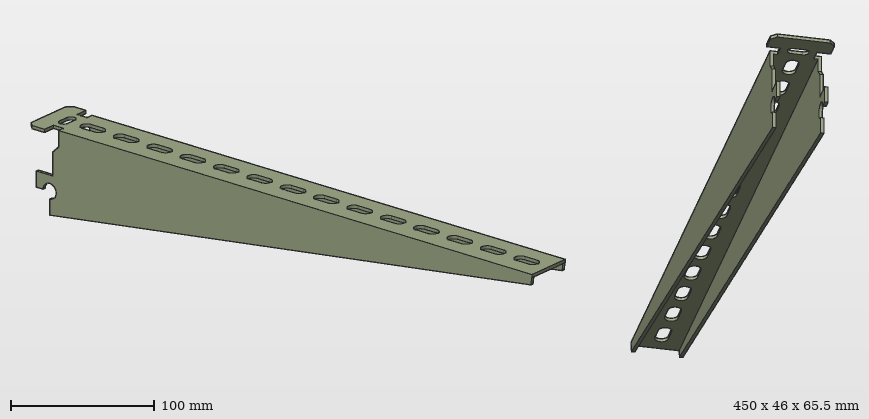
import cadquery as cq

length = 450.0
height = 65.5
sheet = 2.5

channel_width = 37.0
tip_height = 8.0
tip_lean = 1.0

tab_width = 46.0
tab_length = 15.5
tab_chamfer = 4.0

notch_end = 24.5
neck_width = 26.0

cross_slot_x = 17.0
cross_slot_length = 15.5
cross_slot_width = 7.0

slot_count = 14
first_slot_x = 40.0
last_slot_x = 430.0
slot_length = 20.2
slot_width = 9.5

shoulder_x = 19.0
shoulder_top = 12.0
shoulder_bottom = shoulder_top + notch_end - shoulder_x
hook_x = 4.0
hook_top = 35.5
heel_x = 16.0

mouth_radius = 6.0
mouth_depth = 47.5


def make_web():
    """Flat top sheet: tab, narrow neck between the notches, then the full width."""
    web = (
        cq.Workplane("XY")
        .box(length - notch_end, channel_width, sheet, centered=(False, True, False))
        .translate((notch_end, 0, -sheet))
    )
    neck = (
        cq.Workplane("XY")
        .box(notch_end, neck_width, sheet, centered=(False, True, False))
        .translate((0, 0, -sheet))
    )
    tab = (
        cq.Workplane("XY")
        .box(tab_length, tab_width, sheet, centered=(False, True, False))
        .edges("|Z and <X")
        .chamfer(tab_chamfer)
        .translate((0, 0, -sheet))
    )
    return web.union(neck).union(tab)


def make_flange(start_y):
    """Tapered side plate with a hook; it extends from start_y towards +Y."""
    profile = (
        cq.Workplane("XZ", origin=(0, start_y, 0))
        .moveTo(notch_end, 0)
        .lineTo(notch_end, -shoulder_top)
        .lineTo(shoulder_x, -shoulder_bottom)
        .lineTo(shoulder_x, -hook_top)
        .lineTo(hook_x, -hook_top)
        .lineTo(hook_x, -mouth_depth)
        .lineTo(heel_x, -mouth_depth)
        .lineTo(heel_x, -height)
        .lineTo(length - tip_lean, -tip_height)
        .lineTo(length, 0)
        .close()
    )
    mouth = (
        cq.Workplane("XZ", origin=(0, start_y, 0))
        .center(heel_x, -mouth_depth)
        .circle(mouth_radius)
        .extrude(-sheet)
    )
    return profile.extrude(-sheet).cut(mouth)


def make_slots():
    """Cutters for the row of lengthwise slots and the cross slot at the tab."""
    pitch = (last_slot_x - first_slot_x) / (slot_count - 1)
    centres = [(first_slot_x + i * pitch, 0) for i in range(slot_count)]
    row = (
        cq.Workplane("XY")
        .pushPoints(centres)
        .slot2D(slot_length, slot_width)
        .extrude(-sheet)
    )
    cross = (
        cq.Workplane("XY")
        .center(cross_slot_x, 0)
        .slot2D(cross_slot_length, cross_slot_width, 90)
        .extrude(-sheet)
    )
    return row.union(cross)


near_flange = make_flange(-channel_width / 2)
far_flange = make_flange(channel_width / 2 - sheet)
result = make_web().union(near_flange).union(far_flange).cut(make_slots())